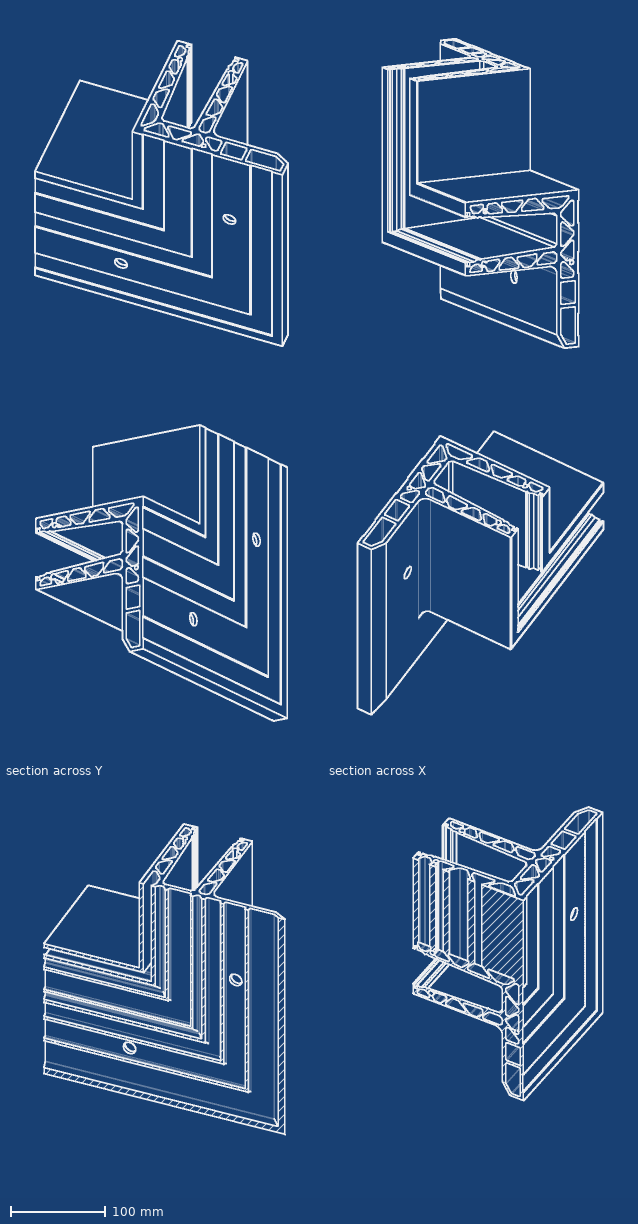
import cadquery as cq


OUTER_SIZE = 280.2
PROFILE_WIDTH = 170.0
PROFILE_DEPTH = 136.0
INNER_FACE = OUTER_SIZE - PROFILE_WIDTH

CHANNEL_WIDTH = 79.8
FLANGE_DEPTH = 26.3
FLANGE_NOSE_START = 154.7
FLANGE_NOSE_DEPTH = 17.5
ROOT_RADIUS = 9.2
PRONG_CORNER = 0.8

CHANNEL_CENTRE = 41.0
MOUTH_HALF = 24.7
SEAL_GROOVE_HALF = 29.0
SEAL_GROOVE_TOP = 134.0
SEAL_GROOVE_FLOOR = 130.8
BEAD_START = 125.2
BEAD_HALF = 22.5
BEAD_PEAK = 121.3
BEAD_NOTCH_HALF = 23.5
BEAD_END = 118.0
THROAT_DEPTH = 116.8
CHANNEL_FLOOR_HALF = 18.2
CHANNEL_FLOOR_CHAMFER = 3.0

FRONT_RECESSES = [(11.2, 36.5), (66.7, 90.8), (133.5, 158.3)]
RECESS_DEPTH = 0.8

HOLE_DIAMETER = 14.0
HOLE_ACROSS = 110.0
HOLE_FROM_END = 97.5

SIDE_WALL = 4.5
PRONG_WALL = 77.5
PRONG_WALL_END = 76.5
FLOOR_TOP = 21.5
FLOOR_BOTTOM = 6.5
FLANGE_CELL_BOTTOM = 4.5
BOX_START = 98.0
BOX_END = 122.2
NOSE_CELL_START = 126.4
NOSE_CELL_END = 166.0
TRUSS_CELL_RADIUS = 1.5
ROOT_CELL_RADIUS = 2.5
FLANGE_CELL_RADIUS = 1.0

INNER_PRONG_CELLS = [
    [(SIDE_WALL, 130.0), (8.0, 129.7), (13.2, 126.4), (13.2, 120.2), (8.7, 114.5), (SIDE_WALL, 114.5)],
    [(SIDE_WALL, 108.0), (6.5, 109.8), (13.2, 109.8), (15.5, 106.7), (15.5, 91.5), (11.5, 91.5), (SIDE_WALL, 99.0)],
    [(SIDE_WALL, 92.5), (7.5, 92.5), (15.7, 85.0), (16.5, 76.2), (7.5, 67.5), (SIDE_WALL, 67.5)],
    [(SIDE_WALL, 60.2), (12.3, 68.5), (16.5, 68.5), (17.0, 42.3), (14.0, 42.3), (SIDE_WALL, 51.3)],
    [(5.3, 43.7), (9.0, 43.7), (16.2, 35.3), (17.0, 33.0), (17.5, 24.0), (15.5, 19.5), (7.5, 12.0), (5.3, 12.0)],
]

OUTER_PRONG_CELLS = [
    [(PRONG_WALL_END, 130.3), (74.2, 130.3), (71.0, 128.5), (68.6, 124.5), (68.6, 120.2), (73.0, 116.0),
     (PRONG_WALL_END, 116.0)],
    [(66.5, 109.8), (72.0, 112.0), (PRONG_WALL, 109.0), (PRONG_WALL, 102.0), (68.5, 94.0), (65.5, 96.5)],
    [(PRONG_WALL, 95.3), (73.7, 95.3), (65.3, 88.0), (65.3, 80.5), (73.7, 72.3), (PRONG_WALL, 72.3)],
    [(65.5, 73.7), (69.2, 73.7), (PRONG_WALL, 65.8), (PRONG_WALL, 57.7), (71.0, 50.5), (64.5, 50.5)],
    [(PRONG_WALL_END, 50.0), (PRONG_WALL_END, 29.5), (73.7, 26.3), (67.5, 26.3), (64.5, 30.0), (64.7, 42.0),
     (72.5, 50.0)],
]

FRONT_CELLS = [
    [(22.5, FLOOR_TOP), (26.5, FLOOR_TOP), (38.0, 9.8), (38.0, FLOOR_BOTTOM), (11.0, FLOOR_BOTTOM), (11.0, 9.8)],
    [(34.5, FLOOR_TOP), (59.0, FLOOR_TOP), (59.0, 17.5), (48.2, FLOOR_BOTTOM), (44.3, FLOOR_BOTTOM),
     (32.8, 19.3)],
    [(65.8, FLOOR_TOP), (68.5, FLOOR_TOP), (75.5, 14.5), (75.5, 10.5), (74.2, FLOOR_BOTTOM),
     (54.0, FLOOR_BOTTOM), (54.0, 9.2)],
]

ROOT_CELL = [(76.5, FLOOR_TOP), (93.9, FLOOR_TOP), (93.9, FLOOR_BOTTOM), (87.7, FLOOR_BOTTOM), (76.5, 17.5)]

FLANGE_CELLS = [
    [(BOX_START, FLOOR_TOP), (BOX_END, FLOOR_TOP), (BOX_END, FLANGE_CELL_BOTTOM),
     (BOX_START, FLANGE_CELL_BOTTOM)],
    [(NOSE_CELL_START, FLOOR_TOP), (FLANGE_NOSE_START, FLOOR_TOP), (NOSE_CELL_END, 14.8),
     (NOSE_CELL_END, FLANGE_CELL_BOTTOM), (NOSE_CELL_START, FLANGE_CELL_BOTTOM)],
]

SCREW_CHANNELS = [(12.0, 112.0, 2.5), (69.2, 113.5, 3.0), (78.0, 8.7, 2.2)]


def extrude_profile(points):
    """Extrude a closed (u, v) outline along the full length of the upright arm."""
    placed = [(INNER_FACE + u, v) for u, v in points]
    return cq.Workplane("XY").polyline(placed).close().extrude(OUTER_SIZE)


def make_outer_body():
    outline = [
        (0, 0),
        (PROFILE_WIDTH, 0),
        (PROFILE_WIDTH, FLANGE_NOSE_DEPTH),
        (FLANGE_NOSE_START, FLANGE_DEPTH),
        (CHANNEL_WIDTH, FLANGE_DEPTH),
        (CHANNEL_WIDTH, PROFILE_DEPTH),
        (0, PROFILE_DEPTH),
    ]
    body = extrude_profile(outline)
    root = cq.selectors.NearestToPointSelector((INNER_FACE + CHANNEL_WIDTH, FLANGE_DEPTH, OUTER_SIZE / 2))
    body = body.edges(root).fillet(ROOT_RADIUS)
    return body.faces(">Y").edges("|Z").chamfer(PRONG_CORNER)


def make_channel():
    half_outline = [
        (MOUTH_HALF, PROFILE_DEPTH),
        (MOUTH_HALF, SEAL_GROOVE_TOP),
        (SEAL_GROOVE_HALF, SEAL_GROOVE_TOP),
        (SEAL_GROOVE_HALF, SEAL_GROOVE_FLOOR),
        (MOUTH_HALF, SEAL_GROOVE_FLOOR),
        (MOUTH_HALF, BEAD_START),
        (BEAD_HALF, BEAD_PEAK),
        (BEAD_NOTCH_HALF, BEAD_END),
        (BEAD_HALF, THROAT_DEPTH),
        (CHANNEL_FLOOR_HALF, FLANGE_DEPTH + CHANNEL_FLOOR_CHAMFER),
        (CHANNEL_FLOOR_HALF - CHANNEL_FLOOR_CHAMFER, FLANGE_DEPTH),
    ]
    outer_side = [(CHANNEL_CENTRE + half, v) for half, v in half_outline]
    inner_side = [(CHANNEL_CENTRE - half, v) for half, v in reversed(half_outline)]
    return extrude_profile(outer_side + inner_side)


def make_cell(points, corner_radius):
    return extrude_profile(points).edges("|Z").fillet(corner_radius)


def make_recess(start, end):
    """Shallow recess with flanks sloping at 45 degrees."""
    floor_start = start + RECESS_DEPTH
    floor_end = end - RECESS_DEPTH
    return extrude_profile([(start, 0), (end, 0), (floor_end, RECESS_DEPTH), (floor_start, RECESS_DEPTH)])


def make_screw_channel(u, v, radius):
    return cq.Workplane("XY").center(INNER_FACE + u, v).circle(radius).extrude(OUTER_SIZE)


def make_mounting_hole():
    return (
        cq.Workplane("XZ")
        .center(INNER_FACE + HOLE_ACROSS, OUTER_SIZE - HOLE_FROM_END)
        .circle(HOLE_DIAMETER / 2)
        .extrude(-PROFILE_DEPTH)
    )


def make_mitre_space():
    """Space above the 45 degree mitre plane, which runs through the outer bottom corner."""
    corners = [(OUTER_SIZE, 0), (OUTER_SIZE, OUTER_SIZE), (0, OUTER_SIZE)]
    return cq.Workplane("XZ").polyline(corners).close().extrude(-PROFILE_DEPTH)


def make_upright_arm():
    arm = make_outer_body().cut(make_channel())
    for cell in INNER_PRONG_CELLS + OUTER_PRONG_CELLS + FRONT_CELLS:
        arm = arm.cut(make_cell(cell, TRUSS_CELL_RADIUS))
    arm = arm.cut(make_cell(ROOT_CELL, ROOT_CELL_RADIUS))
    for cell in FLANGE_CELLS:
        arm = arm.cut(make_cell(cell, FLANGE_CELL_RADIUS))
    for u, v, radius in SCREW_CHANNELS:
        arm = arm.cut(make_screw_channel(u, v, radius))
    for start, end in FRONT_RECESSES:
        arm = arm.cut(make_recess(start, end))
    arm = arm.cut(make_mounting_hole())
    return arm.intersect(make_mitre_space())


upright_arm = make_upright_arm()
level_arm = upright_arm.mirror((1, 0, 1), (OUTER_SIZE, 0, 0))
result = upright_arm.union(level_arm)